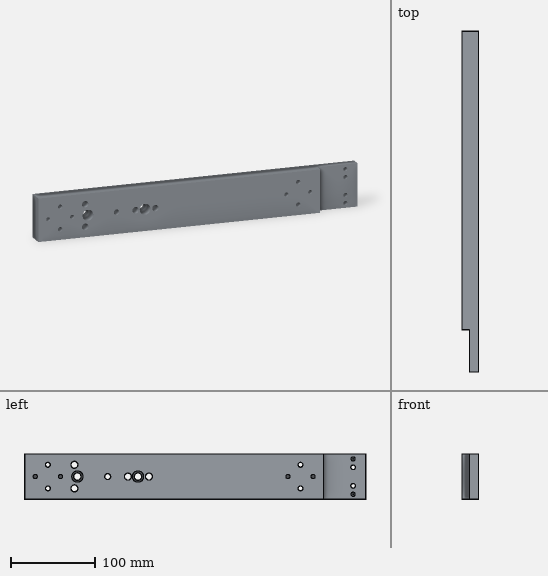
import cadquery as cq

THICKNESS = 20.0
LENGTH = 405.0
WIDTH = 54.0
FACE_X = -THICKNESS / 2
END_Y = LENGTH / 2

TONGUE_LENGTH = 50.0
STEP_DEPTH = 9.0
TONGUE_FACE_X = FACE_X + STEP_DEPTH

PATTERN_CENTERS = (27.5, 327.5)
DOWEL_OFFSET = 15.0
DOWEL_DIAMETER = 5.0
DOWEL_DEPTH = 10.0
BOLT_OFFSET = 14.0
BOLT_DIAMETER = 5.5

COUNTERBORED_POSITIONS = (62.5, 134.5)
COUNTERBORE_DIAMETER = 13.5
COUNTERBORE_DEPTH = 10.0
COUNTERBORED_DIAMETER = 8.5

SIDE_PAIR_POSITION = 59.0
SIDE_PAIR_OFFSET = 14.0
SIDE_PAIR_DIAMETER = 8.0

INLINE_PAIR_CENTER = 135.0
INLINE_PAIR_OFFSET = 12.5
INLINE_PAIR_DIAMETER = 8.0

MIDDLE_POSITION = 98.5
MIDDLE_DIAMETER = 6.8

TONGUE_ROW_END_DISTANCE = 15.0
TONGUE_ROW_POSITION = LENGTH - TONGUE_ROW_END_DISTANCE
TONGUE_BOLT_OFFSET = 11.0
TONGUE_BOLT_DIAMETER = 5.2
TONGUE_PIN_OFFSET = 21.0
TONGUE_PIN_DIAMETER = 5.0
TONGUE_PIN_DEPTH = 6.0
CENTER_DIMPLE_DIAMETER = 0.4
CENTER_DIMPLE_DEPTH = 0.5


def bore(position, z, diameter, depth=THICKNESS, start_x=FACE_X):
    """Cylinder running in +X from start_x, at a distance from the +Y end."""
    start = cq.Vector(start_x, END_Y - position, z)
    return cq.Workplane(cq.Solid.makeCylinder(diameter / 2, depth, start, cq.Vector(1, 0, 0)))


def stepped_bar():
    bar = cq.Workplane("XY").box(THICKNESS, LENGTH, WIDTH)
    step = cq.Workplane("XY").box(STEP_DEPTH, TONGUE_LENGTH, WIDTH, centered=(False, False, True))
    return bar.cut(step.translate((FACE_X, -END_Y, 0)))


def cut_mounting_pattern(body, center):
    for side in (-1, 1):
        body = body.cut(bore(center + side * DOWEL_OFFSET, 0, DOWEL_DIAMETER, DOWEL_DEPTH))
        body = body.cut(bore(center, side * BOLT_OFFSET, BOLT_DIAMETER))
    return body


def cut_counterbored_hole(body, position):
    body = body.cut(bore(position, 0, COUNTERBORED_DIAMETER))
    return body.cut(bore(position, 0, COUNTERBORE_DIAMETER, COUNTERBORE_DEPTH))


def cut_plain_holes(body):
    body = body.cut(bore(MIDDLE_POSITION, 0, MIDDLE_DIAMETER))
    for side in (-1, 1):
        inline_position = INLINE_PAIR_CENTER + side * INLINE_PAIR_OFFSET
        body = body.cut(bore(inline_position, 0, INLINE_PAIR_DIAMETER))
        body = body.cut(bore(SIDE_PAIR_POSITION, side * SIDE_PAIR_OFFSET, SIDE_PAIR_DIAMETER))
    return body


def cut_tongue_row(body):
    pin_floor_x = TONGUE_FACE_X + TONGUE_PIN_DEPTH
    for side in (-1, 1):
        bolt_z = side * TONGUE_BOLT_OFFSET
        pin_z = side * TONGUE_PIN_OFFSET
        body = body.cut(bore(TONGUE_ROW_POSITION, bolt_z, TONGUE_BOLT_DIAMETER))
        body = body.cut(bore(TONGUE_ROW_POSITION, pin_z, TONGUE_PIN_DIAMETER, TONGUE_PIN_DEPTH, TONGUE_FACE_X))
        dimple = bore(TONGUE_ROW_POSITION, pin_z, CENTER_DIMPLE_DIAMETER, CENTER_DIMPLE_DEPTH, pin_floor_x)
        body = body.cut(dimple)
    return body


result = stepped_bar()
for pattern_center in PATTERN_CENTERS:
    result = cut_mounting_pattern(result, pattern_center)
for counterbored_position in COUNTERBORED_POSITIONS:
    result = cut_counterbored_hole(result, counterbored_position)
result = cut_plain_holes(result)
result = cut_tongue_row(result)